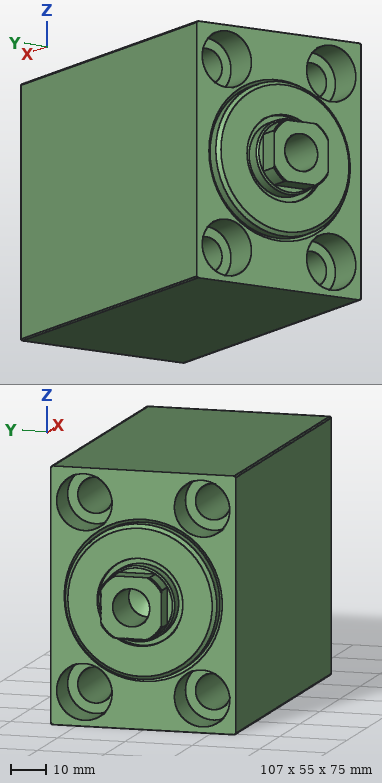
import cadquery as cq
import math

LENGTH = 107.0
WIDTH = 55.0
HEIGHT = 75.0
HOUSING_LENGTH = 95.0
TIP_X = -LENGTH / 2
BACK_X = LENGTH / 2
FACE_X = BACK_X - HOUSING_LENGTH
EDGE_CHAMFER = 0.4

HOLE_SPACING_Y = 35.0
HOLE_SPACING_Z = 55.0
HOLE_DIA = 10.5
COUNTERBORE_DIA = 16.5
COUNTERBORE_DEPTH = 11.0

GLAND_DIA = 45.0
GLAND_CHAMFER = 1.1
GLAND_PROTRUSION = 3.2
SEAT_DEPTH = 16.0
SEAT_CHAMFER = 1.0
WIPER_DIA = 25.5
WIPER_DEPTH = 1.6

ROD_DIA = 22.0
ROD_CHAMFER = 0.5
FLAT_LENGTH = 6.0
FLAT_WIDTH = 18.0
TIP_CHAMFER = 0.3
THREAD_DIA = 11.0
THREAD_DEPTH = 16.0
DRILL_POINT_ANGLE = 118.0

GLAND_FRONT_X = FACE_X - GLAND_PROTRUSION
SEAT_X = FACE_X + SEAT_DEPTH
SHOULDER_X = TIP_X + FLAT_LENGTH


def plane_at(x):
    """Plane normal to the rod axis, with +X as its normal and local axes along Y and Z."""
    return cq.Workplane("YZ", origin=(x, 0, 0))


def cylinder(x_start, x_end, diameter):
    return plane_at(x_start).circle(diameter / 2).extrude(x_end - x_start)


def make_housing():
    body = plane_at(FACE_X).rect(WIDTH, HEIGHT).extrude(HOUSING_LENGTH)
    body = body.edges("|X").chamfer(EDGE_CHAMFER)

    hole_centres = plane_at(FACE_X).rect(HOLE_SPACING_Y, HOLE_SPACING_Z, forConstruction=True).vertices()
    holes = hole_centres.circle(HOLE_DIA / 2).extrude(HOUSING_LENGTH)
    counterbores = hole_centres.circle(COUNTERBORE_DIA / 2).extrude(COUNTERBORE_DEPTH)
    body = body.cut(holes).cut(counterbores)

    seat = cylinder(FACE_X, SEAT_X, GLAND_DIA)
    mouth_radius = GLAND_DIA / 2 + SEAT_CHAMFER
    mouth = plane_at(FACE_X).circle(mouth_radius).extrude(SEAT_CHAMFER, taper=45)
    return body.cut(seat).cut(mouth)


def make_gland():
    body = cylinder(GLAND_FRONT_X, SEAT_X, GLAND_DIA).faces("<X").edges().chamfer(GLAND_CHAMFER)
    rod_bore = cylinder(GLAND_FRONT_X, SEAT_X, ROD_DIA)
    wiper_recess = cylinder(GLAND_FRONT_X, GLAND_FRONT_X + WIPER_DEPTH, WIPER_DIA)
    return body.cut(rod_bore).cut(wiper_recess)


def make_rod():
    shank = cylinder(SHOULDER_X, SEAT_X, ROD_DIA).faces("<X").edges().chamfer(ROD_CHAMFER)

    end_dia = ROD_DIA - 2 * ROD_CHAMFER
    wrench_end = cylinder(TIP_X, SHOULDER_X, end_dia).faces("<X").edges().chamfer(TIP_CHAMFER)
    square = plane_at(TIP_X).rect(FLAT_WIDTH, FLAT_WIDTH).extrude(FLAT_LENGTH)
    body = shank.union(wrench_end.intersect(square))

    radius = THREAD_DIA / 2
    point_length = radius / math.tan(math.radians(DRILL_POINT_ANGLE / 2))
    hole_profile = (
        cq.Workplane("XY")
        .moveTo(TIP_X, 0)
        .lineTo(TIP_X, radius)
        .lineTo(TIP_X + THREAD_DEPTH, radius)
        .lineTo(TIP_X + THREAD_DEPTH + point_length, 0)
        .close()
    )
    hole = hole_profile.revolve(360, (TIP_X, 0, 0), (TIP_X + 1.1, 0, 0))
    return body.cut(hole)


housing = make_housing()
gland = make_gland()
rod = make_rod()

result = cq.Compound.makeCompound([housing.val(), gland.val(), rod.val()])